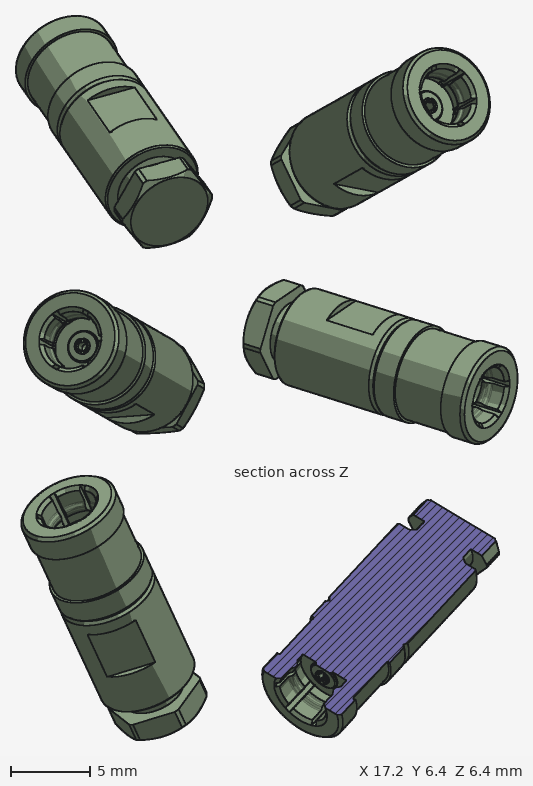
import cadquery as cq
import math

total_length = 17.16
body_end = 14.48
neck_start = 14.74
nut_start = 15.55

body_diameter = 6.4
body_radius = body_diameter / 2
front_chamfer = 0.2
grip_start, grip_end, grip_radius = 1.68, 5.29, 3.02
seam_position = 6.98
seam_depth = 0.17
seam_half_width = 0.2
rear_chamfer = 0.1
collar_radius = 2.39
neck_radius = 2.0

flat_start, flat_end = 7.96, 11.48
across_flats = 5.5

nut_corner_diameter = 6.2
nut_corner_radius = nut_corner_diameter / 2
nut_face_radius = 2.66
nut_chamfer_length = 0.31

socket_radius = 1.89
socket_depth = 2.54
finger_root_radius = 2.1
finger_radius = 1.84
lead_in_length = 0.24
slot_width = 0.38
slot_length = 2.65
slot_count = 6

bead_radius = 1.68
bead_start, bead_crest_start = 1.18, 1.42
bead_crest_end, bead_end = 1.7, 1.95
bead_fillet = 0.17

insulator_radius = 1.03
insulator_start = 2.37
insulator_chamfer = 0.09
contact_radius = 0.5
contact_start = 2.23
contact_bore_radius = 0.3
contact_bore_depth = 0.85
contact_drill_tip_length = 0.17
contact_countersink = 0.09
contact_slot_width = 0.24
contact_slot_depth = 0.25


def revolve_about_axis(points):
    """Turn an (x, radius) outline around the X axis."""
    return cq.Workplane("XY").polyline(points).close().revolve(360, (0, 0, 0), (1, 0, 0))


def cylinder(start, end, radius):
    """Solid round bar on the X axis between two stations."""
    return cq.Workplane("YZ").workplane(offset=start).circle(radius).extrude(end - start)


def make_body():
    body = revolve_about_axis([
        (0, 0),
        (0, body_radius - front_chamfer),
        (front_chamfer, body_radius),
        (grip_start, body_radius),
        (grip_start, grip_radius),
        (grip_end, grip_radius),
        (grip_end, body_radius),
        (seam_position - seam_half_width, body_radius),
        (seam_position, body_radius - seam_depth),
        (seam_position + seam_half_width, body_radius),
        (body_end - rear_chamfer, body_radius),
        (body_end, body_radius - rear_chamfer),
        (body_end, collar_radius),
        (neck_start, neck_radius),
        (nut_start, neck_radius),
        (nut_start, 0),
    ])
    flat_length = flat_end - flat_start
    cutter_height = body_radius
    for side in (1, -1):
        cutter = cq.Workplane("XY").box(flat_length, 2 * body_radius, cutter_height).translate(
            ((flat_start + flat_end) / 2, 0, side * (across_flats + cutter_height) / 2)
        )
        body = body.cut(cutter)
    return body


def make_nut():
    sharp_corner_diameter = across_flats / math.cos(math.pi / 6)
    hexagon = (
        cq.Workplane("YZ").workplane(offset=nut_start)
        .polygon(6, sharp_corner_diameter).extrude(total_length - nut_start)
    )
    envelope = revolve_about_axis([
        (nut_start, 0),
        (nut_start, nut_corner_radius),
        (total_length - nut_chamfer_length, nut_corner_radius),
        (total_length, nut_face_radius),
        (total_length, 0),
    ])
    return hexagon.intersect(envelope)


def make_socket():
    """Hollow inside the fingers and behind them, including the slots between the fingers."""
    bore = revolve_about_axis([
        (0, 0),
        (0, finger_root_radius),
        (lead_in_length, finger_radius),
        (bead_start, finger_radius),
        (bead_crest_start, bead_radius),
        (bead_crest_end, bead_radius),
        (bead_end, socket_radius),
        (socket_depth, socket_radius),
        (socket_depth, 0),
    ])
    margin = 0.02
    bead_edges = cq.selectors.BoxSelector(
        (bead_start - margin, -margin, -margin), (bead_crest_end + margin, margin, margin)
    )
    bore = bore.edges("%CIRCLE").edges(bead_edges).fillet(bead_fillet)

    core = cylinder(socket_depth, slot_length, socket_radius)
    envelope = cylinder(0, slot_length, finger_root_radius).cut(core)
    for i in range(slot_count // 2):
        slot_pair = (
            cq.Workplane("XY")
            .box(slot_length, 2 * finger_root_radius, slot_width, centered=(False, True, True))
            .rotate((0, 0, 0), (1, 0, 0), i * 360 / slot_count)
        )
        bore = bore.union(slot_pair.intersect(envelope))
    return bore


def make_insulator():
    return (
        cylinder(insulator_start, socket_depth, insulator_radius)
        .faces("<X").chamfer(insulator_chamfer)
    )


def make_contact_opening():
    """Countersunk blind bore with a drill tip, crossed by a vertical slot."""
    bore_end = contact_start + contact_bore_depth
    bore = revolve_about_axis([
        (contact_start, 0),
        (contact_start, contact_bore_radius + contact_countersink),
        (contact_start + contact_countersink, contact_bore_radius),
        (bore_end, contact_bore_radius),
        (bore_end + contact_drill_tip_length, 0),
    ])
    slot = cq.Workplane("XY").box(
        contact_slot_depth, contact_slot_width, 2 * contact_radius, centered=(False, True, True)
    ).translate((contact_start, 0, 0))
    slot = slot.intersect(cylinder(contact_start, socket_depth, contact_radius))
    return bore.union(slot)


result = make_body().union(make_nut()).cut(make_socket())
result = result.union(make_insulator())
result = result.union(cylinder(contact_start, socket_depth, contact_radius))
result = result.cut(make_contact_opening())